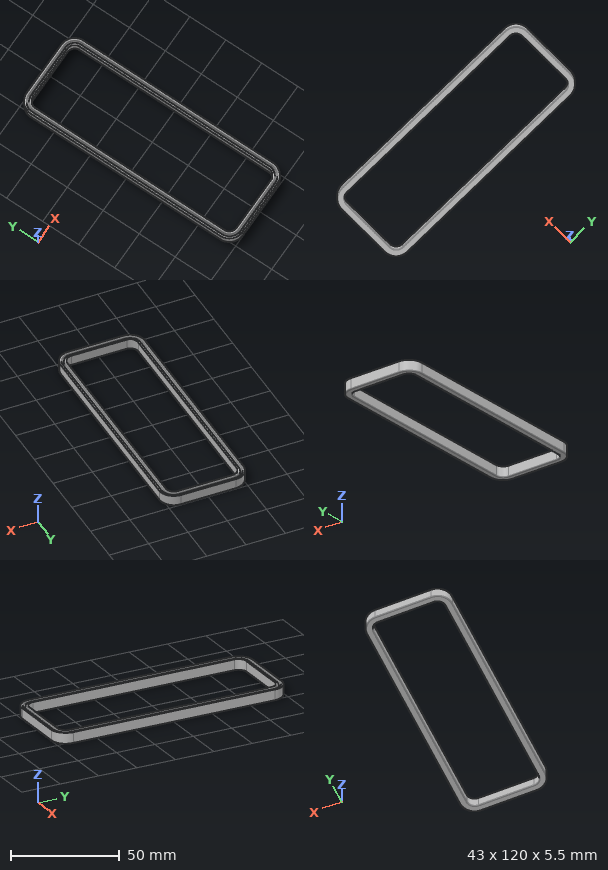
import cadquery as cq

LENGTH = 120.0
WIDTH = 43.0
HEIGHT = 5.5
WALL = 3.5
CORNER_RADIUS = 7.5
BOTTOM_FILLET = 0.4

GROOVE_WIDTH = 1.2
GROOVE_DEPTH = 3.0
GROOVE_DRAFT = 3.0
MOUTH_FILLET = 0.2
FLOOR_FILLET = 0.2

LIP = (WALL - GROOVE_WIDTH) / 2


def rounded_block(inset, height, taper=0.0):
    """Block on the XY plane whose outline lies inside the ring's outer outline by the inset."""
    outline = cq.Sketch().rect(WIDTH - 2 * inset, LENGTH - 2 * inset)
    outline = outline.vertices().fillet(CORNER_RADIUS - inset)
    return cq.Workplane("XY").placeSketch(outline).extrude(height, taper=taper)


def plain_ring():
    """Ring with rounded bottom edges and no groove."""
    ring = rounded_block(0, HEIGHT).cut(rounded_block(WALL, HEIGHT))
    return ring.faces("<Z").edges().fillet(BOTTOM_FILLET)


def groove():
    """Volume of the groove, hanging down from the top face, with its floor corners rounded."""
    outer_side = rounded_block(LIP, -GROOVE_DEPTH, GROOVE_DRAFT)
    inner_side = rounded_block(LIP + GROOVE_WIDTH, -GROOVE_DEPTH, -GROOVE_DRAFT)
    channel = outer_side.cut(inner_side)
    channel = channel.faces("<Z").edges().fillet(FLOOR_FILLET)
    return channel.translate((0, 0, HEIGHT))


def round_mouth(grooved_ring):
    """Round the two top edges that face each other across the groove."""
    lips = grooved_ring.faces(">Z").vals()
    inner_lip, outer_lip = sorted(lips, key=lambda lip: lip.BoundingBox().xlen)
    mouth_edges = inner_lip.outerWire().Edges() + outer_lip.innerWires()[0].Edges()
    return grooved_ring.newObject(mouth_edges).fillet(MOUTH_FILLET)


result = round_mouth(plain_ring().cut(groove()))